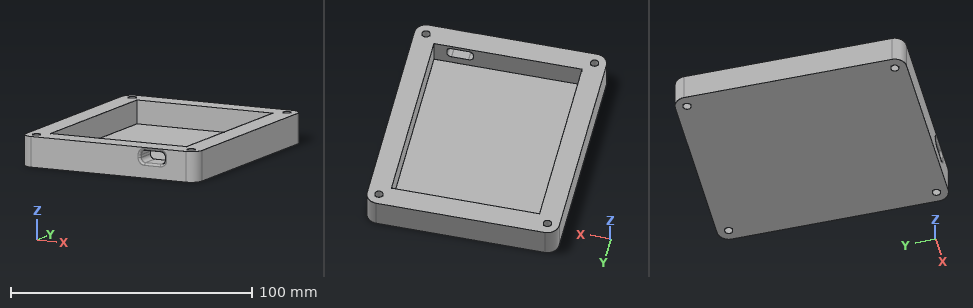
import cadquery as cq

LENGTH = 98.8
WIDTH = 81.7
HEIGHT = 13.0
CORNER_RADIUS = 5.0

WALL = 9.4
FLOOR = 3.0

HOLE_DIAMETER = 3.4

PORT_X = 20.4
PORT_Z = 9.1
MOUTH_WIDTH = 13.2
MOUTH_HEIGHT = 7.2
MOUTH_RADIUS = 1.0
PORT_WIDTH = MOUTH_WIDTH - 2 * MOUTH_RADIUS
PORT_HEIGHT = MOUTH_HEIGHT - 2 * MOUTH_RADIUS
PORT_SIDE_FLAT = 1.2
PORT_CORNER_RADIUS = (PORT_HEIGHT - PORT_SIDE_FLAT) / 2


def make_body():
    """Block with rounded vertical corners, resting on Z = 0."""
    block = cq.Workplane("XY").box(WIDTH, LENGTH, HEIGHT, centered=(True, True, False))
    return block.edges("|Z").fillet(CORNER_RADIUS)


def make_cavity():
    return (
        cq.Workplane("XY")
        .workplane(offset=FLOOR)
        .rect(WIDTH - 2 * WALL, LENGTH - 2 * WALL)
        .extrude(HEIGHT - FLOOR)
    )


def make_screw_holes():
    return (
        cq.Workplane("XY")
        .rect(WIDTH - 2 * CORNER_RADIUS, LENGTH - 2 * CORNER_RADIUS, forConstruction=True)
        .vertices()
        .circle(HOLE_DIAMETER / 2)
        .extrude(HEIGHT)
    )


def make_port():
    """Rounded-rectangle opening from the outer face into the cavity."""
    return (
        cq.Workplane("XY")
        .box(PORT_WIDTH, WALL, PORT_HEIGHT)
        .edges("|Y")
        .fillet(PORT_CORNER_RADIUS)
        .translate((PORT_X, (WALL - LENGTH) / 2, PORT_Z))
    )


tray = make_body().cut(make_cavity()).cut(make_screw_holes()).cut(make_port())

port_mouth = cq.selectors.BoxSelector(
    (PORT_X - MOUTH_WIDTH / 2, -LENGTH / 2 - MOUTH_RADIUS, PORT_Z - MOUTH_HEIGHT / 2),
    (PORT_X + MOUTH_WIDTH / 2, -LENGTH / 2 + MOUTH_RADIUS, PORT_Z + MOUTH_HEIGHT / 2),
    boundingbox=True,
)
result = tray.edges(port_mouth).fillet(MOUTH_RADIUS)